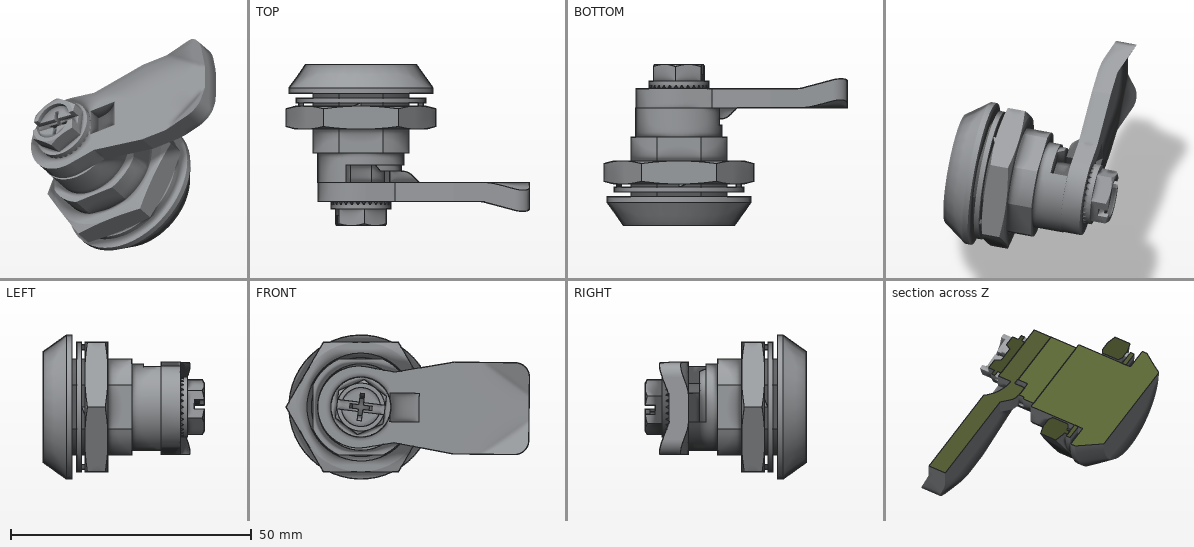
import cadquery as cq
import math


HEAD_DIAMETER = 30.0
HEAD_FACE_DIAMETER = 23.05
HEAD_HEIGHT = 6.05
HEAD_RIM_HEIGHT = 1.15
BARREL_DIAMETER = 22.0
BARREL_ACROSS_FLATS = 20.0
BARREL_LENGTH = 12.4

WASHER_DIAMETER = 27.0
WASHER_DEPTH = 0.95
WASHER_THICKNESS = 1.0

NUT_ACROSS_FLATS = 27.0
NUT_DEPTH = 2.65
NUT_THICKNESS = 4.8
NUT_BORE = 20.6
NUT_COUNTERSINK = 22.45
NUT_COUNTERSINK_ANGLE = 30
NUT_CHAMFER_ANGLE = 15
TOOTH_COUNT = 4
TOOTH_INNER_RADIUS = 11.9
TOOTH_RADIAL_WIDTH = 1.05
TOOTH_LENGTH = 1.55

ROTOR_DIAMETER = 18.0
ROTOR_END_DEPTH = 18.5
RECESS_DEPTH = 14.9
RECESS_WALL = 3.1
CORE_DIAMETER = 10.65
CORE_ACROSS_FLATS = 9.7
RAMP_DIAMETER = 16.9
RAMP_HEIGHT = 1.25
RAMP_START = 3.0
RAMP_RUN = 1.1

CAM_THICKNESS = 4.0
CAM_TILT = -0.6
CAM_HEAD_RADIUS = 8.5
CAM_HEAD_OFFSET = 0.45
CAM_TANGENT_X = 0.95
CAM_NECK_X = 7.0
CAM_NECK_HALF_WIDTH = 7.35
CAM_SHOULDER_X = 19.25
CAM_HALF_WIDTH = 9.55
CAM_TIP_X = 35.0
CAM_CORNER_RADIUS = 3.05
FOLD_START_X = 24.65
FOLD_LINE_ANGLE = 35
FOLD_ANGLE = 25
FOLD_INNER_RADIUS = 1.5
FLAP_LENGTH = 15.2

TAB_WIDTH = 6.0
TAB_START_X = 6.05
TAB_END_X = 12.1
TAB_ANGLE = 45
TAB_HEIGHT = ROTOR_END_DEPTH - RECESS_DEPTH - RAMP_HEIGHT
TAB_ROUND_RADIUS = 2.8
POCKET_ANGLE = 52

SCREW_FLANGE_DIAMETER = 12.5
SCREW_FLANGE_THICKNESS = 1.5
SCREW_ACROSS_FLATS = 10.0
SCREW_HEX_HEIGHT = 3.5
SCREW_TURN = -7.0
SCREW_CHAMFER_ANGLE = 30
SERRATION_COUNT = 30
SERRATION_WIDTH = 0.75
SERRATION_HEIGHT = 0.65
SERRATION_INNER_RADIUS = 5.0
SCREW_RECESS_DIAMETER = 8.1
SCREW_RECESS_DEPTH = 1.0
SLOT_WIDTH = 2.0
SLOT_DEPTH = 2.1
CROSS_ARM_WIDTH = 0.9
CROSS_TOP_LENGTH = 5.65
CROSS_BOTTOM_LENGTH = 3.55
CROSS_BOTTOM_DEPTH = 3.3
CROSS_FILLET = 0.25

HEX_HALF_ANGLE = 30
AXIS_START = (0, 0, 0)
AXIS_END = (0, 1, 0)
BIG = 3 * HEAD_DIAMETER

cam_depth = ROTOR_END_DEPTH
screw_depth = cam_depth + CAM_THICKNESS
hex_depth = screw_depth + SCREW_FLANGE_THICKNESS
screw_end_depth = hex_depth + SCREW_HEX_HEIGHT


def at_depth(depth):
    """XZ workplane at a depth below the head flange; extruding goes toward -Y."""
    return cq.Workplane("XZ", origin=(0, -depth, 0))


def turn(body, angle):
    """Turn a body about the lock axis, counter-clockwise as seen from -Y."""
    return body.rotate(AXIS_START, AXIS_END, -angle)


def revolve_profile(points):
    """Revolve a closed outline of (radius, y) points about the lock axis."""
    return cq.Workplane("XY").polyline(points).close().revolve(360, AXIS_START, AXIS_END)


def across_corners(across_flats):
    """Corner-to-corner size of a hexagon."""
    return across_flats / math.cos(math.radians(HEX_HALF_ANGLE))


def four_flat_bar(depth, length, diameter, across_flats):
    """Round bar with four flats that face X and Z."""
    bar = at_depth(depth).circle(diameter / 2).extrude(length)
    square = at_depth(depth).rect(across_flats, across_flats).extrude(length)
    return bar.intersect(square)


def make_housing():
    head = revolve_profile([
        (0, 0),
        (HEAD_DIAMETER / 2, 0),
        (HEAD_DIAMETER / 2, HEAD_RIM_HEIGHT),
        (HEAD_FACE_DIAMETER / 2, HEAD_HEIGHT),
        (0, HEAD_HEIGHT),
    ])
    barrel = four_flat_bar(0, BARREL_LENGTH, BARREL_DIAMETER, BARREL_ACROSS_FLATS)
    return head.union(barrel)


def make_washer(housing):
    washer = at_depth(WASHER_DEPTH).circle(WASHER_DIAMETER / 2).extrude(WASHER_THICKNESS)
    return washer.cut(housing)


def nut_tooth():
    """Ramp on the nut that rises along X up to the washer, placed at +Z."""
    washer_y = -WASHER_DEPTH - WASHER_THICKNESS
    return (
        cq.Workplane("XY", origin=(0, 0, TOOTH_INNER_RADIUS))
        .polyline([(-TOOTH_LENGTH, -NUT_DEPTH), (0, -NUT_DEPTH), (0, washer_y)])
        .close()
        .extrude(TOOTH_RADIAL_WIDTH)
    )


def make_nut(housing):
    corner_diameter = across_corners(NUT_ACROSS_FLATS)
    corner_radius = corner_diameter / 2
    flat_radius = NUT_ACROSS_FLATS / 2
    front_y = -NUT_DEPTH - NUT_THICKNESS
    back_y = -NUT_DEPTH
    drop = (corner_radius - flat_radius) * math.tan(math.radians(NUT_CHAMFER_ANGLE))
    sink = (NUT_COUNTERSINK - NUT_BORE) / 2 * math.tan(math.radians(NUT_COUNTERSINK_ANGLE))
    turned_blank = revolve_profile([
        (NUT_COUNTERSINK / 2, front_y),
        (flat_radius, front_y),
        (corner_radius, front_y + drop),
        (corner_radius, back_y - drop),
        (flat_radius, back_y),
        (NUT_COUNTERSINK / 2, back_y),
        (NUT_BORE / 2, back_y - sink),
        (NUT_BORE / 2, front_y + sink),
    ])
    hexagon = at_depth(NUT_DEPTH).polygon(6, corner_diameter).extrude(NUT_THICKNESS)
    nut = hexagon.intersect(turned_blank).cut(housing)
    for index in range(TOOTH_COUNT):
        nut = nut.union(turn(nut_tooth(), index * 360 / TOOTH_COUNT))
    return nut


def make_rotor():
    recess_length = ROTOR_END_DEPTH - RECESS_DEPTH
    rotor = at_depth(BARREL_LENGTH).circle(ROTOR_DIAMETER / 2).extrude(ROTOR_END_DEPTH - BARREL_LENGTH)

    recess = (
        at_depth(RECESS_DEPTH)
        .rect(BIG, BIG, centered=False)
        .extrude(recess_length)
        .translate((-RECESS_WALL, 0, -RECESS_WALL))
    )
    core = four_flat_bar(RECESS_DEPTH, recess_length, CORE_DIAMETER, CORE_ACROSS_FLATS)
    rotor = rotor.cut(recess.cut(core))

    ramp = (
        cq.Workplane("XY", origin=(0, 0, -RECESS_WALL))
        .polyline([
            (RAMP_START, -RECESS_DEPTH),
            (RAMP_START + RAMP_RUN, -RECESS_DEPTH - RAMP_HEIGHT),
            (ROTOR_DIAMETER, -RECESS_DEPTH - RAMP_HEIGHT),
            (ROTOR_DIAMETER, -RECESS_DEPTH),
        ])
        .close()
        .extrude(BIG)
    )
    ramp_disc = at_depth(RECESS_DEPTH).circle(RAMP_DIAMETER / 2).extrude(RAMP_HEIGHT)
    return rotor.union(ramp.intersect(ramp_disc))


def cam_outline_prism():
    """Flat outline of the cam, extruded deep enough for the folded corners."""
    tangent_z = math.sqrt(CAM_HEAD_RADIUS ** 2 - (CAM_TANGENT_X + CAM_HEAD_OFFSET) ** 2)
    return (
        at_depth(cam_depth)
        .moveTo(CAM_TANGENT_X, -tangent_z)
        .threePointArc((-CAM_HEAD_OFFSET - CAM_HEAD_RADIUS, 0), (CAM_TANGENT_X, tangent_z))
        .lineTo(CAM_NECK_X, CAM_NECK_HALF_WIDTH)
        .lineTo(CAM_SHOULDER_X, CAM_HALF_WIDTH)
        .lineTo(CAM_TIP_X, CAM_HALF_WIDTH)
        .lineTo(CAM_TIP_X, -CAM_HALF_WIDTH)
        .lineTo(CAM_SHOULDER_X, -CAM_HALF_WIDTH)
        .lineTo(CAM_NECK_X, -CAM_NECK_HALF_WIDTH)
        .close()
        .extrude(2 * CAM_THICKNESS)
        .edges("|Y and >X")
        .fillet(CAM_CORNER_RADIUS)
    )


def fold_plane():
    """Plane across the upper fold line: local x points across the fold, local y is the world Y."""
    angle = math.radians(FOLD_LINE_ANGLE)
    return cq.Plane(
        origin=(FOLD_START_X, -cam_depth, CAM_HALF_WIDTH),
        xDir=(math.sin(angle), 0, math.cos(angle)),
        normal=(-math.cos(angle), 0, math.sin(angle)),
    )


def folded_flap():
    """Flap beyond the upper fold line, bent toward -Y, wider than the cam corner it forms."""
    outer_radius = FOLD_INNER_RADIUS + CAM_THICKNESS
    fold = math.radians(FOLD_ANGLE)

    def bend_point(radius, angle):
        return (radius * math.sin(angle), radius * math.cos(angle) - outer_radius)

    inner_end = bend_point(FOLD_INNER_RADIUS, fold)
    return (
        cq.Workplane(fold_plane())
        .lineTo(0, -CAM_THICKNESS)
        .threePointArc(bend_point(FOLD_INNER_RADIUS, fold / 2), inner_end)
        .line(FLAP_LENGTH * math.cos(fold), -FLAP_LENGTH * math.sin(fold))
        .line(CAM_THICKNESS * math.sin(fold), CAM_THICKNESS * math.cos(fold))
        .lineTo(*bend_point(outer_radius, fold))
        .threePointArc(bend_point(outer_radius, fold / 2), (0, 0))
        .close()
        .extrude(FLAP_LENGTH, both=True)
    )


def cam_plate():
    """Plate of the cam with both tip corners folded toward -Y."""
    outline = cam_outline_prism()
    beyond_fold = (
        cq.Workplane(fold_plane())
        .rect(FLAP_LENGTH, -2 * CAM_THICKNESS, centered=False)
        .extrude(FLAP_LENGTH, both=True)
    )
    plate = at_depth(cam_depth).rect(BIG, BIG).extrude(CAM_THICKNESS)
    plate = outline.intersect(plate).cut(beyond_fold).cut(beyond_fold.mirror("XY"))
    corner = outline.intersect(folded_flap())
    return plate.union(corner).union(corner.mirror("XY"))


def stop_tab():
    """Tab on the +Y face of the cam, sloping up from the tip side to a flat top."""
    back_y = -cam_depth
    tab_angle = math.radians(TAB_ANGLE)
    top_y = back_y + TAB_HEIGHT
    round_rise = TAB_ROUND_RADIUS * (1 - math.cos(tab_angle))
    round_start_x = TAB_END_X - (TAB_HEIGHT - round_rise) / math.tan(tab_angle)
    round_end_x = round_start_x - TAB_ROUND_RADIUS * math.sin(tab_angle)
    return (
        cq.Workplane("XY", origin=(0, 0, -TAB_WIDTH / 2))
        .moveTo(TAB_START_X, back_y)
        .lineTo(TAB_END_X, back_y)
        .lineTo(round_start_x, top_y - round_rise)
        .threePointArc(
            (
                round_end_x + TAB_ROUND_RADIUS * math.sin(tab_angle / 2),
                top_y - TAB_ROUND_RADIUS * (1 - math.cos(tab_angle / 2)),
            ),
            (round_end_x, top_y),
        )
        .lineTo(TAB_START_X, top_y)
        .close()
        .extrude(TAB_WIDTH)
    )


def tab_pocket():
    """Rounded pocket that the pressed tab leaves in the -Y face of the cam."""
    front_y = -screw_depth
    pocket_angle = math.radians(POCKET_ANGLE)
    pocket_radius = (TAB_END_X - TAB_START_X) / math.sin(pocket_angle)
    pocket_roof_y = front_y + pocket_radius * (1 - math.cos(pocket_angle))
    return (
        cq.Workplane("XY", origin=(0, 0, -TAB_WIDTH / 2))
        .moveTo(TAB_START_X, front_y)
        .lineTo(TAB_END_X, front_y)
        .threePointArc(
            (
                TAB_START_X + pocket_radius * math.sin(pocket_angle / 2),
                pocket_roof_y - pocket_radius * (1 - math.cos(pocket_angle / 2)),
            ),
            (TAB_START_X, pocket_roof_y),
        )
        .close()
        .extrude(TAB_WIDTH)
    )


def make_cam():
    cam = cam_plate().union(stop_tab()).cut(tab_pocket())
    return turn(cam, CAM_TILT)


def serrated_flange():
    flange = at_depth(screw_depth).circle(SCREW_FLANGE_DIAMETER / 2).extrude(SCREW_FLANGE_THICKNESS)
    notch = (
        cq.Workplane("YZ", origin=(SERRATION_INNER_RADIUS, 0, 0))
        .polyline([
            (-screw_depth, -SERRATION_WIDTH / 2),
            (-screw_depth, SERRATION_WIDTH / 2),
            (-screw_depth - SERRATION_HEIGHT, 0),
        ])
        .close()
        .extrude(SCREW_FLANGE_DIAMETER / 2)
    )
    for index in range(SERRATION_COUNT):
        flange = flange.cut(turn(notch, index * 360 / SERRATION_COUNT))
    return flange


def cross_arm():
    """One full arm of the cross recess, along X, with sloping ends."""
    top_y = -screw_end_depth + SCREW_RECESS_DEPTH
    bottom_y = -screw_end_depth + CROSS_BOTTOM_DEPTH
    return (
        cq.Workplane("XY", origin=(0, 0, -CROSS_ARM_WIDTH / 2))
        .polyline([
            (-CROSS_TOP_LENGTH / 2, top_y),
            (CROSS_TOP_LENGTH / 2, top_y),
            (CROSS_BOTTOM_LENGTH / 2, bottom_y),
            (-CROSS_BOTTOM_LENGTH / 2, bottom_y),
        ])
        .close()
        .extrude(CROSS_ARM_WIDTH)
    )


def screw_head():
    """Hexagon head along X with chamfered corners, a round recess, a slot and a cross recess."""
    corner_diameter = across_corners(SCREW_ACROSS_FLATS)
    corner_radius = corner_diameter / 2
    flat_radius = SCREW_ACROSS_FLATS / 2
    drop = (corner_radius - flat_radius) * math.tan(math.radians(SCREW_CHAMFER_ANGLE))
    hexagon = at_depth(hex_depth).polygon(6, corner_diameter).extrude(SCREW_HEX_HEIGHT)
    turned_blank = revolve_profile([
        (0, -hex_depth),
        (corner_radius, -hex_depth),
        (corner_radius, -screw_end_depth + drop),
        (flat_radius, -screw_end_depth),
        (0, -screw_end_depth),
    ])
    head = turn(hexagon, HEX_HALF_ANGLE).intersect(turned_blank)
    recess = (
        at_depth(screw_end_depth - SCREW_RECESS_DEPTH)
        .circle(SCREW_RECESS_DIAMETER / 2)
        .extrude(SCREW_RECESS_DEPTH)
    )
    slot = at_depth(screw_end_depth - SLOT_DEPTH).rect(BIG, SLOT_WIDTH).extrude(SLOT_DEPTH)
    cross = cross_arm().union(turn(cross_arm(), 90))
    cross = cross.edges("|Y").fillet(CROSS_FILLET)
    return head.cut(recess).cut(slot).cut(cross)


def make_screw():
    return serrated_flange().union(turn(screw_head(), SCREW_TURN))


housing = make_housing()
washer = make_washer(housing)
nut = make_nut(housing)
rotor = make_rotor()
cam = make_cam()
screw = make_screw()

bodies = [housing, washer, nut, rotor, cam, screw]
result = cq.Compound.makeCompound([body.solids().val() for body in bodies])